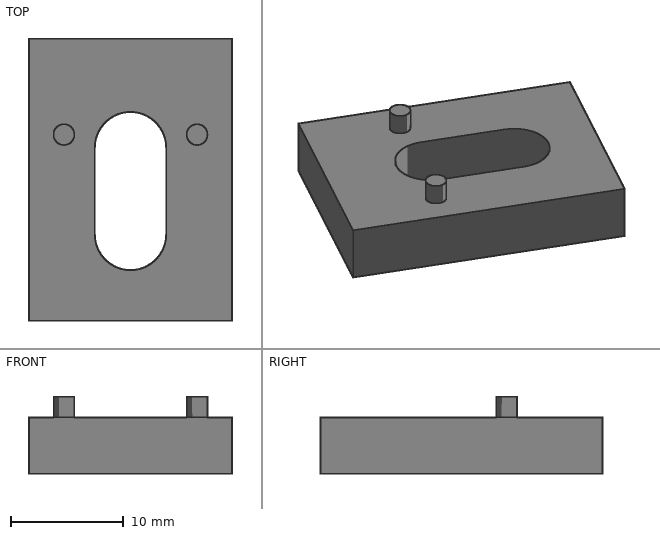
import cadquery as cq

plate_width = 18.0
plate_length = 25.0
plate_thickness = 5.0

slot_width = 6.3
slot_length = 14.0
slot_center_y = -1.0

pin_diameter = 1.85
pin_height = 1.85
pin_spacing = 11.8
pin_y = 4.0


def make_plate():
    return cq.Workplane("XY").box(
        plate_width, plate_length, plate_thickness, centered=(True, True, False)
    )


def make_slot():
    return (
        cq.Workplane("XY")
        .center(0, slot_center_y)
        .slot2D(slot_length, slot_width, angle=90)
        .extrude(plate_thickness)
    )


def make_pins():
    pin_centers = [(side * pin_spacing / 2, pin_y) for side in (-1, 1)]
    return (
        cq.Workplane("XY")
        .workplane(offset=plate_thickness)
        .pushPoints(pin_centers)
        .circle(pin_diameter / 2)
        .extrude(pin_height)
    )


result = make_plate().cut(make_slot()).union(make_pins())